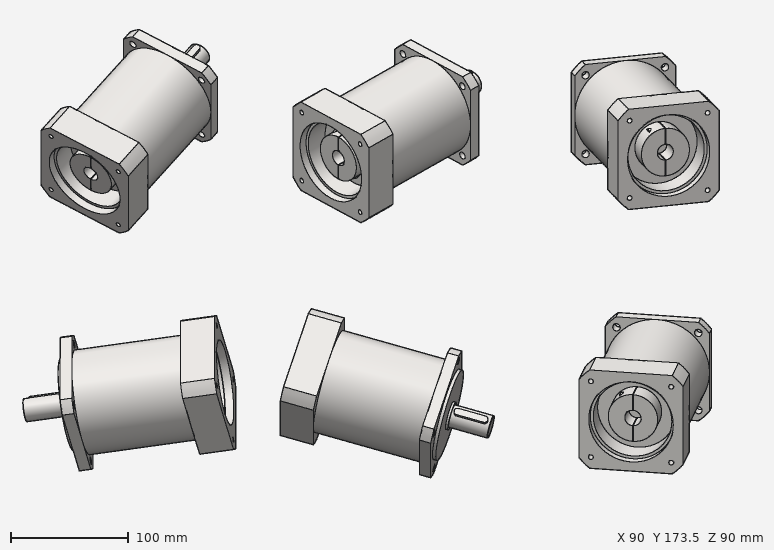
import cadquery as cq
import math


total_length = 173.5
square_side = 90.0
corner_radius = 57.5

adapter_length = 29.5
plate_thickness = 10.0
pilot_length = 3.0
shaft_length = 36.8
shoulder_length = 2.0

pilot_diameter = 80.0
shoulder_diameter = 24.6
shaft_diameter = 20.0
tip_chamfer = 0.5
plate_hole_diameter = 6.5
plate_hole_circle = 100.0

key_width = 6.0
key_length = 30.0
key_top = 12.5
key_tip_gap = 2.8

motor_pilot_diameter = 73.0
motor_pilot_depth = 7.3
cavity_diameter = 67.8
spigot_length = 1.65
motor_hole_diameter = 4.2
motor_hole_circle = 98.0
motor_hole_depth = 15.0
drill_point_angle = 118.0

hub_diameter = 42.7
hub_recess = 9.2
bore_diameter = 14.0
slit_width = 0.7
screw_head_diameter = 10.0
screw_head_length = 6.0
screw_head_top = 18.9
screw_head_end = 12.7

motor_face = -total_length / 2
adapter_back = motor_face + adapter_length
shaft_tip = total_length / 2
pilot_face = shaft_tip - shaft_length
plate_front = pilot_face - pilot_length
plate_back = plate_front - plate_thickness
shoulder_face = pilot_face + shoulder_length
hub_face = motor_face + hub_recess
spigot_face = adapter_back - spigot_length
hub_length = spigot_face - hub_face
screw_height = screw_head_top - screw_head_diameter / 2


def cylinder_y(diameter, start, length):
    """Cylinder on the gearbox axis that runs from y = start toward +Y."""
    return cq.Workplane("XZ", origin=(0, start, 0)).circle(diameter / 2).extrude(-length)


def square_flange(start, length):
    """Square block whose corners are rounded by a cylinder on the axis."""
    block = cq.Workplane("XZ", origin=(0, start, 0)).rect(square_side, square_side).extrude(-length)
    return block.intersect(cylinder_y(2 * corner_radius, start, length))


def hole_centres(circle_diameter):
    """The four (x, z) places on the diagonals of a bolt circle."""
    offset = circle_diameter / 2 * math.sqrt(0.5)
    return [(x, z) for x in (-offset, offset) for z in (-offset, offset)]


def output_shaft():
    """Stepped shaft with a chamfered tip and its round-ended key."""
    shoulder = cylinder_y(shoulder_diameter, pilot_face, shoulder_length)
    journal = cylinder_y(shaft_diameter, shoulder_face, shaft_tip - shoulder_face)
    journal = journal.faces(">Y").chamfer(tip_chamfer)
    key_centre = shaft_tip - key_tip_gap - key_length / 2
    key = (
        cq.Workplane("XY", origin=(0, key_centre, 0))
        .slot2D(key_length, key_width, 90)
        .extrude(key_top)
    )
    return shoulder.union(journal).union(key)


def clamp_hub():
    """Slit hub with a motor shaft bore and two opposed clamp screw heads."""
    hub_middle = hub_face + hub_length / 2
    hub = cylinder_y(hub_diameter, hub_face, hub_length)
    head = (
        cq.Workplane("YZ", origin=(-screw_head_end, hub_middle, screw_height))
        .circle(screw_head_diameter / 2)
        .extrude(screw_head_length)
    )
    for turn in (0, 180):
        hub = hub.union(head.rotate((0, 0, 0), (0, 1, 0), turn))
    slit = cq.Workplane("XY", origin=(0, hub_middle, 0)).box(slit_width, hub_length, hub_diameter)
    return hub.cut(cylinder_y(bore_diameter, hub_face, hub_length)).cut(slit)


def make_gearbox():
    """Round housing with its mounting plate, pilot, output shaft, spigot and input hub."""
    plate_holes = (
        cq.Workplane("XZ", origin=(0, plate_back, 0))
        .pushPoints(hole_centres(plate_hole_circle))
        .circle(plate_hole_diameter / 2)
        .extrude(-plate_thickness)
    )
    return (
        cylinder_y(square_side, adapter_back, plate_back - adapter_back)
        .union(square_flange(plate_back, plate_thickness).cut(plate_holes))
        .union(cylinder_y(pilot_diameter, plate_front, pilot_length))
        .union(output_shaft())
        .union(cylinder_y(cavity_diameter, spigot_face, spigot_length))
        .union(clamp_hub())
    )


def motor_hole():
    """Blind hole with a drill point, on the axis and opening at the motor face."""
    radius = motor_hole_diameter / 2
    point_length = radius / math.tan(math.radians(drill_point_angle / 2))
    return (
        cq.Workplane("XY")
        .moveTo(0, motor_face)
        .lineTo(radius, motor_face)
        .lineTo(radius, motor_face + motor_hole_depth)
        .lineTo(0, motor_face + motor_hole_depth + point_length)
        .close()
        .revolve(360, (0, 0, 0), (0, 1, 0))
    )


def make_motor_adapter():
    """Square ring around the hub, with a motor pilot and four blind screw holes."""
    adapter = (
        square_flange(motor_face, adapter_length)
        .cut(cylinder_y(cavity_diameter, motor_face, adapter_length))
        .cut(cylinder_y(motor_pilot_diameter, motor_face, motor_pilot_depth))
    )
    for x, z in hole_centres(motor_hole_circle):
        adapter = adapter.cut(motor_hole().translate((x, 0, z)))
    return adapter


gearbox = make_gearbox()
motor_adapter = make_motor_adapter()

result = cq.Compound.makeCompound([gearbox.val(), motor_adapter.val()])